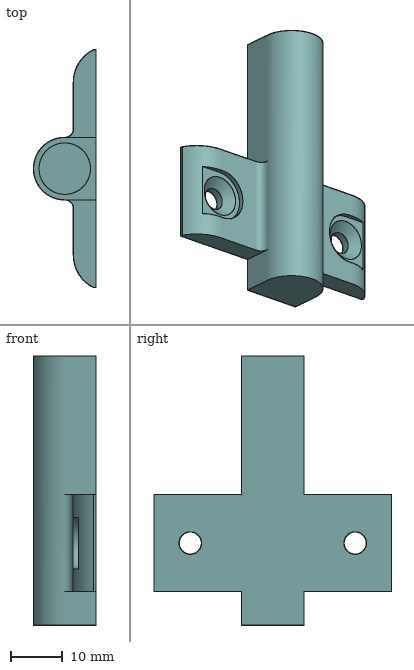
import cadquery as cq
import math

height = 52.3
socket_width = 12.2
socket_radius = socket_width / 2
bore_diameter = 10.0
bore_floor = 2.0
back_x = socket_radius

plate_span = 46.2
plate_thickness = 4.45
plate_height = 18.9
plate_bottom = 6.55
plate_front_x = back_x - plate_thickness
tip_thickness = 0.5
tip_length = 6.35
root_radius = 1.55

screw_y = 16.0
screw_z = plate_bottom + plate_height / 2
screw_diameter = 4.3
countersink_diameter = 7.95
countersink_angle = 90.0
seat_width = 10.0
seat_depth = 1.0
seat_x = plate_front_x + seat_depth


def make_socket_body():
    return (
        cq.Workplane("XY")
        .moveTo(back_x, -socket_radius)
        .lineTo(0, -socket_radius)
        .threePointArc((-socket_radius, 0), (0, socket_radius))
        .lineTo(back_x, socket_radius)
        .close()
        .extrude(height)
    )


def make_wing():
    """Wing on the +Y side, with a rounded tip and a concave root fillet."""
    tip_y = plate_span / 2
    tip_x = back_x - tip_thickness
    tip_start_y = tip_y - tip_length
    tip_drop = tip_x - plate_front_x
    tip_radius = (tip_length**2 + tip_drop**2) / (2 * tip_drop)
    half_sweep = math.asin(tip_length / tip_radius) / 2
    tip_middle = (
        plate_front_x + tip_radius * (1 - math.cos(half_sweep)),
        tip_start_y + tip_radius * math.sin(half_sweep),
    )
    root_x = plate_front_x - root_radius
    root_y = socket_radius + root_radius
    root_offset = root_radius * math.sqrt(0.5)
    root_middle = (root_x + root_offset, root_y - root_offset)
    return (
        cq.Workplane("XY", origin=(0, 0, plate_bottom))
        .moveTo(back_x, 0)
        .lineTo(back_x, tip_y)
        .lineTo(tip_x, tip_y)
        .threePointArc(tip_middle, (plate_front_x, tip_start_y))
        .lineTo(plate_front_x, root_y)
        .threePointArc(root_middle, (root_x, socket_radius))
        .lineTo(root_x, 0)
        .close()
        .extrude(plate_height)
    )


def make_screw_cut():
    """Shallow seat open toward the wing tip, plus a countersunk through hole."""
    seat_run = plate_span / 2 - screw_y
    seat_plane = cq.Workplane("YZ", origin=(plate_front_x, screw_y, screw_z))
    seat_round = seat_plane.circle(seat_width / 2).extrude(seat_depth)
    seat_channel = (
        seat_plane.center(seat_run / 2, 0)
        .rect(seat_run, seat_width)
        .extrude(seat_depth)
    )
    hole = seat_plane.circle(screw_diameter / 2).extrude(plate_thickness)
    hole_radius = screw_diameter / 2
    sink_radius = countersink_diameter / 2
    sink_depth = (sink_radius - hole_radius) / math.tan(math.radians(countersink_angle / 2))
    sink = cq.Workplane(
        cq.Solid.makeCone(
            sink_radius,
            hole_radius,
            sink_depth,
            pnt=cq.Vector(seat_x, screw_y, screw_z),
            dir=cq.Vector(1, 0, 0),
        )
    )
    return seat_round.union(seat_channel).union(hole).union(sink)


wing = make_wing().cut(make_screw_cut())
bore = (
    cq.Workplane("XY", origin=(0, 0, bore_floor))
    .circle(bore_diameter / 2)
    .extrude(height - bore_floor)
)
result = make_socket_body().union(wing).union(wing.mirror("XZ")).cut(bore)